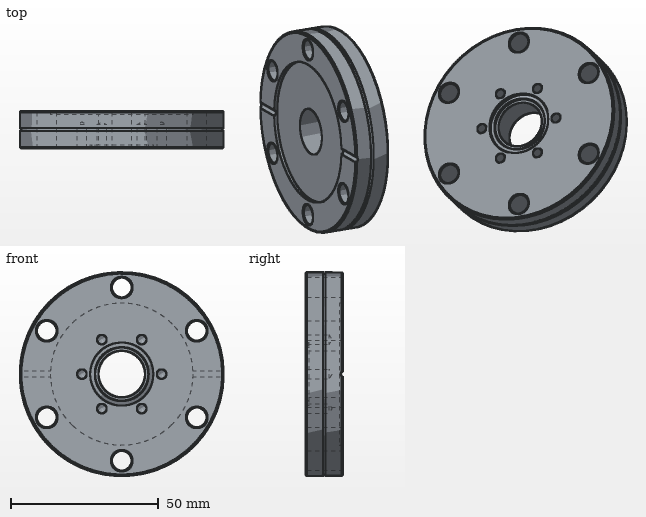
import cadquery as cq
import math

flange_diameter = 69.1
flange_thickness = 12.7
rim_chamfer = 0.5
bore_diameter = 15.7
front_y = 0.0
back_y = front_y + flange_thickness

rim_groove_radius = 0.5

recess_diameter = 21.4
recess_depth = 1.2
knife_edge_diameter = 18.3
knife_edge_depth = 0.6
knife_inner_diameter = 18.0
inner_floor_depth = 1.2

back_recess_diameter = 48.26
back_recess_depth = 1.2

bolt_count = 6
bolt_hole_diameter = 6.7
bolt_circle_diameter = 58.7
bolt_hole_chamfer = 0.3

small_hole_count = 6
small_hole_diameter = 3.24
small_hole_circle_diameter = 27.0
small_hole_depth = 8.0
drill_point_angle = 118.0

leak_groove_radius = 1.1
leak_groove_depth = 0.7


def revolve_about_y(profile):
    """Revolve a closed (radius, y) profile a full turn around the Y axis."""
    return profile.close().revolve(360, (0, 0, 0), (0, 1, 0))


def circle_points(diameter, count, start_angle):
    """Evenly spaced (x, z) points on a circle, angles in degrees from +X."""
    points = []
    for index in range(count):
        angle = math.radians(start_angle + index * 360 / count)
        points.append((diameter / 2 * math.cos(angle), diameter / 2 * math.sin(angle)))
    return points


def make_disc():
    """Plain disc with chamfered rims."""
    disc = cq.Workplane("XZ", origin=(0, back_y, 0)).circle(flange_diameter / 2).extrude(flange_thickness)
    return disc.edges().chamfer(rim_chamfer)


def make_bore():
    """Cylinder that cuts the central through bore."""
    return cq.Workplane("XZ", origin=(0, back_y, 0)).circle(bore_diameter / 2).extrude(flange_thickness)


def make_rim_groove():
    """Ring of circular section centred on the rim at mid thickness."""
    middle_y = (front_y + back_y) / 2
    section = cq.Workplane("XY").center(flange_diameter / 2, middle_y).circle(rim_groove_radius)
    return section.revolve(360, (-flange_diameter / 2, 0, 0), (-flange_diameter / 2, 1, 0))


def make_seal_recess():
    """Front recess: straight outer wall, cone up to the knife edge, then a sunken floor."""
    profile = (
        cq.Workplane("XY")
        .moveTo(0, front_y)
        .lineTo(recess_diameter / 2, front_y)
        .lineTo(recess_diameter / 2, front_y + recess_depth)
        .lineTo(knife_edge_diameter / 2, front_y + knife_edge_depth)
        .lineTo(knife_inner_diameter / 2, front_y + inner_floor_depth)
        .lineTo(0, front_y + inner_floor_depth)
    )
    return revolve_about_y(profile)


def make_back_recess():
    """Cylinder that cuts the flat-bottomed recess in the back face."""
    return cq.Workplane("XZ", origin=(0, back_y, 0)).circle(back_recess_diameter / 2).extrude(back_recess_depth)


def make_bolt_hole():
    """Through hole cutter on the Y axis with a chamfer at each face."""
    radius = bolt_hole_diameter / 2
    wide_radius = radius + bolt_hole_chamfer
    profile = (
        cq.Workplane("XY")
        .moveTo(0, front_y)
        .lineTo(wide_radius, front_y)
        .lineTo(radius, front_y + bolt_hole_chamfer)
        .lineTo(radius, back_y - bolt_hole_chamfer)
        .lineTo(wide_radius, back_y)
        .lineTo(0, back_y)
    )
    return revolve_about_y(profile)


def make_small_hole():
    """Blind hole cutter on the Y axis with a conical drill point."""
    radius = small_hole_diameter / 2
    point_length = radius / math.tan(math.radians(drill_point_angle / 2))
    profile = (
        cq.Workplane("XY")
        .moveTo(0, front_y)
        .lineTo(radius, front_y)
        .lineTo(radius, front_y + small_hole_depth)
        .lineTo(0, front_y + small_hole_depth + point_length)
    )
    return revolve_about_y(profile)


def make_leak_groove():
    """Cylinder along X that cuts the rim of the back face on both sides of the recess."""
    centre_y = back_y - leak_groove_depth + leak_groove_radius
    section = cq.Workplane("YZ").center(centre_y, 0).circle(leak_groove_radius)
    return section.extrude(flange_diameter / 2, both=True)


result = make_disc().cut(make_bore()).cut(make_rim_groove()).cut(make_seal_recess())
result = result.cut(make_back_recess())

bolt_hole = make_bolt_hole()
for x, z in circle_points(bolt_circle_diameter, bolt_count, 90):
    result = result.cut(bolt_hole.translate((x, 0, z)))

small_hole = make_small_hole()
for x, z in circle_points(small_hole_circle_diameter, small_hole_count, 0):
    result = result.cut(small_hole.translate((x, 0, z)))

result = result.cut(make_leak_groove())